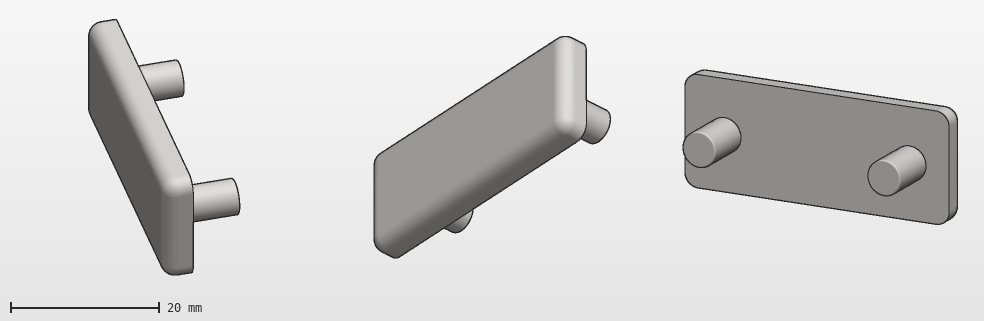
import cadquery as cq

plate_length = 40.0
plate_height = 16.0
plate_thickness = 4.0
edge_radius = 2.0

overall_depth = 11.5
pin_diameter = 5.0
pin_spacing = 28.0
pin_tip_radius = 0.2
pin_length = overall_depth - plate_thickness


def make_plate():
    """Plate with rounded corners and a rounded front rim; its back lies on Y = 0."""
    block = cq.Workplane("XY").box(plate_length, plate_thickness, plate_height)
    block = block.translate((0, -plate_thickness / 2, 0))
    return block.edges("|Y or <Y").fillet(edge_radius)


def make_pin(x):
    """Round pin standing on the back of the plate, with a rounded tip edge."""
    pin = cq.Workplane("XZ").circle(pin_diameter / 2).extrude(-pin_length)
    return pin.faces(">Y").edges().fillet(pin_tip_radius).translate((x, 0, 0))


result = make_plate()
for side in (-1, 1):
    result = result.union(make_pin(side * pin_spacing / 2))